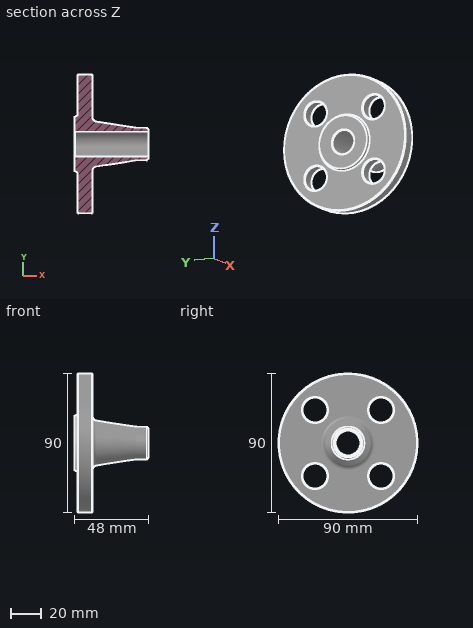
import cadquery as cq

flange_diameter = 90.0
raised_face_height = 2.0
flange_front = 11.7
flange_chamfer = 0.5

raised_face_diameter = 35.0
rim_diameter = 37.3

overall_length = 48.0
hub_base_diameter = 30.0
pipe_diameter = 21.3
pipe_start = 39.8
neck_fillet_radius = 3.0
weld_bevel_length = 1.35
weld_bevel_depth = 1.35

bore_diameter = 15.8
bolt_hole_diameter = 15.9
bolt_circle_diameter = 60.3
bolt_count = 4
bolt_hole_chamfer = 0.5
bore_chamfer = 0.45


def neck_edge(x, radius):
    """Selector for the circular edge of the given radius around the X axis."""
    margin = 0.2
    reach = radius + margin
    return cq.selectors.BoxSelector(
        (x - margin, -reach, -reach), (x + margin, reach, reach), boundingbox=True
    )


def flange_body():
    """Revolve the solid half section about the X axis."""
    flange_radius = flange_diameter / 2
    pipe_radius = pipe_diameter / 2
    hub_base_radius = hub_base_diameter / 2
    body = (
        cq.Workplane("XY")
        .moveTo(0, 0)
        .lineTo(0, raised_face_diameter / 2)
        .lineTo(raised_face_height, rim_diameter / 2)
        .lineTo(raised_face_height, flange_radius - flange_chamfer)
        .lineTo(raised_face_height + flange_chamfer, flange_radius)
        .lineTo(flange_front - flange_chamfer, flange_radius)
        .lineTo(flange_front, flange_radius - flange_chamfer)
        .lineTo(flange_front, hub_base_radius)
        .lineTo(pipe_start, pipe_radius)
        .lineTo(overall_length - weld_bevel_length, pipe_radius)
        .lineTo(overall_length, pipe_radius - weld_bevel_depth)
        .lineTo(overall_length, 0)
        .close()
        .revolve(360, (0, 0, 0), (1, 0, 0))
    )
    hub_edges = neck_edge(flange_front, hub_base_radius) + neck_edge(pipe_start, pipe_radius)
    return body.edges(hub_edges).fillet(neck_fillet_radius)


def chamfered_hole(diameter, chamfer, start, end):
    """Cutter along X for a hole widened at both ends by 45 degree chamfers."""
    radius = diameter / 2
    return (
        cq.Workplane("XY")
        .moveTo(start, 0)
        .lineTo(start, radius + chamfer)
        .lineTo(start + chamfer, radius)
        .lineTo(end - chamfer, radius)
        .lineTo(end, radius + chamfer)
        .lineTo(end, 0)
        .close()
        .revolve(360, (0, 0, 0), (1, 0, 0))
    )


def bolt_holes():
    """Cutters for the bolt holes, straddling the Y and Z axes."""
    pitch_angle = 360 / bolt_count
    hole = chamfered_hole(bolt_hole_diameter, bolt_hole_chamfer, raised_face_height, flange_front)
    hole = hole.translate((0, bolt_circle_diameter / 2, 0))
    cutters = cq.Workplane("XY")
    for index in range(bolt_count):
        angle = (index + 0.5) * pitch_angle
        cutters = cutters.add(hole.rotate((0, 0, 0), (1, 0, 0), angle))
    return cutters.combine()


bore = chamfered_hole(bore_diameter, bore_chamfer, 0, overall_length)
result = flange_body().cut(bore).cut(bolt_holes())